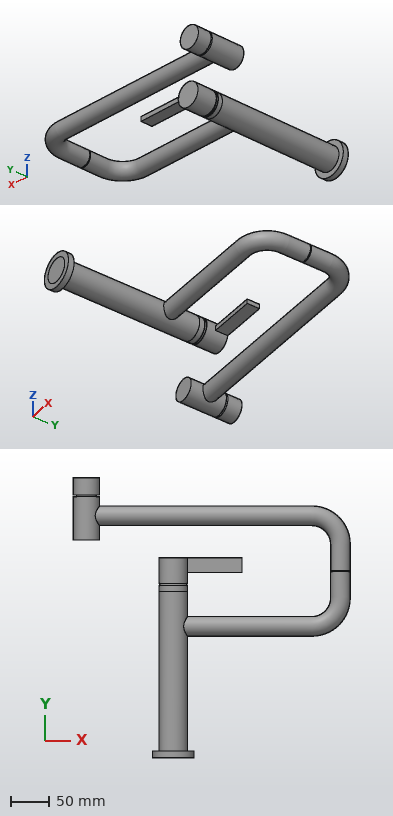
import cadquery as cq
import math

total_length = 368.0

flange_diameter = 55.0
flange_thickness = 9.2
post_diameter = 38.0
post_top = 226.5

cap_gap = 3.0
cap_bottom = post_top + cap_gap
cap_top = 263.0
insert_diameter = 36.0
insert_depth = 8.0
lever_reach = 90.5
lever_width = 20.0
lever_thickness = 7.5

arm_diameter = 26.0
lower_arm_y = 172.5
upper_arm_y = 318.0
fold_y = (lower_arm_y + upper_arm_y) / 2
column_x = 219.7
bend_radius = 37.5
joint_gap = 1.0
joint_diameter = 22.0
joint_depth = 11.0

head_x = -114.0
head_diameter = 35.0
head_bottom = 286.0
head_top = 343.0
head_gap = 2.2
head_neck_diameter = 26.0
head_neck_depth = 7.5


def rod(x, y_start, y_end, diameter):
    """Round bar along Y, centred on Z = 0."""
    plane = cq.Workplane("XZ", origin=(x, y_start, 0))
    return plane.circle(diameter / 2).extrude(y_start - y_end)


def make_arm(start_x, arm_y):
    """Bent bar running along X from start_x, then turning along Y to the fold."""
    inward = 1 if arm_y < fold_y else -1
    bend_start_x = column_x - bend_radius
    diagonal = bend_radius * math.cos(math.pi / 4)
    bend_end = (column_x, arm_y + inward * bend_radius)
    bend_middle = (bend_start_x + diagonal, arm_y + inward * (bend_radius - diagonal))
    fold_end = (column_x, fold_y - inward * joint_gap / 2)
    path = (
        cq.Workplane("XY")
        .moveTo(start_x, arm_y)
        .lineTo(bend_start_x, arm_y)
        .threePointArc(bend_middle, bend_end)
        .lineTo(*fold_end)
    )
    section = cq.Workplane("YZ", origin=(start_x, arm_y, 0)).circle(arm_diameter / 2)
    return section.sweep(path)


post_outline = rod(0, 0, post_top, post_diameter)
head_outline = rod(head_x, head_bottom, head_top, head_diameter)

flange = rod(0, 0, flange_thickness, flange_diameter).cut(post_outline)

insert = rod(0, post_top - insert_depth, cap_bottom, insert_diameter)
post = post_outline.cut(insert)

cap = rod(0, cap_bottom, cap_top, post_diameter)
lever = (
    cq.Workplane("XY")
    .box(lever_reach, lever_width, lever_thickness, centered=(False, False, True))
    .translate((0, cap_top - lever_width, 0))
    .cut(cap)
)

joint_half = joint_gap / 2 + joint_depth
joint_pin = rod(column_x, fold_y - joint_half, fold_y + joint_half, joint_diameter)

lower_arm = make_arm(0, lower_arm_y).cut(post_outline).cut(joint_pin)
upper_arm = make_arm(head_x, upper_arm_y).cut(head_outline).cut(joint_pin)

head_cap_bottom = head_top + head_gap
head_neck = rod(head_x, head_top - head_neck_depth, head_cap_bottom, head_neck_diameter)
head_cap = rod(head_x, head_cap_bottom, total_length, head_diameter).union(head_neck)
head = head_outline.cut(head_neck)

bodies = [flange, post, insert, cap, lever, lower_arm, joint_pin, upper_arm, head, head_cap]
result = cq.Compound.makeCompound([body.val() for body in bodies])